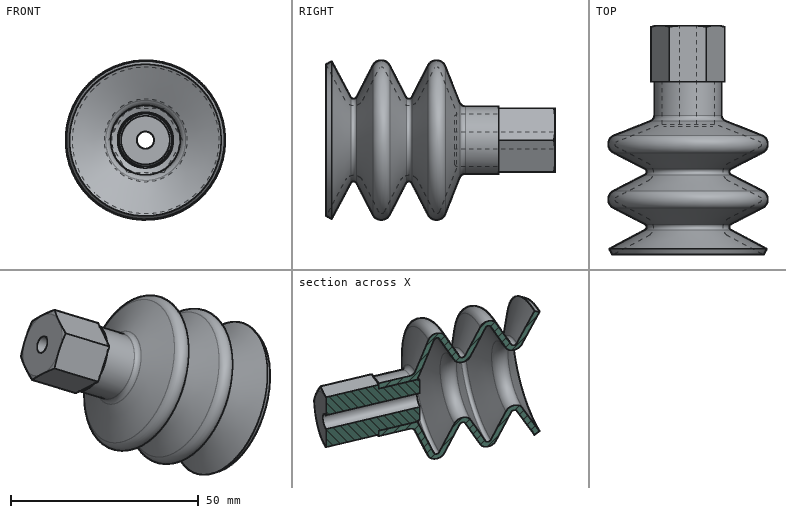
import cadquery as cq
import math

overall_length = 61.0

wall = 1.75
fold_radius = 21.3
fold_round = 2.55
neck_radius = 11.05
neck_round = 0.85
first_neck_y = 7.4
fold_pitch = 14.7
fold_count = 2
lip_radius = 20.2
lip_angle = math.radians(28.2)

sleeve_radius = 9.0
sleeve_top_y = 46.0
shoulder_y = 37.1
shoulder_round = 1.6
mouth_radius = 7.45

hex_flats = 17.0
hex_tip_angle = math.radians(15)
stem_radius = 7.0
stem_chamfer = 0.55
air_hole_radius = 2.25

neck_center_r = neck_radius + neck_round
fold_center_r = fold_radius - fold_round
shoulder_center_r = sleeve_radius + shoulder_round
first_fold_y = first_neck_y + fold_pitch / 2
top_fold_y = first_fold_y + (fold_count - 1) * fold_pitch


def cone_angle(radial_gap, axial_gap, round_sum):
    """Slope of the line that touches two roundings on opposite sides."""
    distance = math.hypot(radial_gap, axial_gap)
    return math.atan2(axial_gap, radial_gap) - math.asin(round_sum / distance)


fold_angle = cone_angle(fold_center_r - neck_center_r, fold_pitch / 2, fold_round + neck_round)
top_angle = cone_angle(
    fold_center_r - shoulder_center_r, shoulder_y - top_fold_y, fold_round + shoulder_round
)


def polar(center_r, center_y, radius, angle):
    """Point on a circle; the angle is measured from the outward radial direction."""
    return (center_r + radius * math.cos(angle), center_y + radius * math.sin(angle))


def add_folds(profile, inset):
    """Continue a profile from the lip over all folds, inset from the outer surface."""
    neck_arc = neck_round + inset
    fold_arc = fold_round - inset
    right_angle = math.pi / 2
    for index in range(fold_count):
        neck_y = first_neck_y + index * fold_pitch
        fold_y = neck_y + fold_pitch / 2
        angle_below = lip_angle if index == 0 else fold_angle
        angle_above = top_angle if index == fold_count - 1 else fold_angle
        profile = (
            profile
            .lineTo(*polar(neck_center_r, neck_y, neck_arc, -right_angle - angle_below))
            .threePointArc(
                polar(neck_center_r, neck_y, neck_arc, math.pi),
                polar(neck_center_r, neck_y, neck_arc, right_angle + fold_angle),
            )
            .lineTo(*polar(fold_center_r, fold_y, fold_arc, fold_angle - right_angle))
            .threePointArc(
                polar(fold_center_r, fold_y, fold_arc, 0),
                polar(fold_center_r, fold_y, fold_arc, right_angle - angle_above),
            )
        )
    return profile


def revolve_about_y(profile):
    return profile.close().revolve(360, (0, 0, 0), (0, 1, 0))


def cylinder(radius, start_y, end_y):
    return cq.Workplane("XZ", origin=(0, start_y, 0)).circle(radius).extrude(start_y - end_y)


def mouth_height():
    """Y at which the top cone of the cavity reaches the mouth radius."""
    cone_r, cone_y = polar(fold_center_r, top_fold_y, fold_round - wall, math.pi / 2 - top_angle)
    return cone_y + (cone_r - mouth_radius) * math.tan(top_angle)


mouth_y = mouth_height()


def make_bellows():
    lip_outer = polar(lip_radius, 0, wall, math.pi / 2 - lip_angle)
    lip_face = cq.Workplane("XY").lineTo(lip_radius, 0).lineTo(*lip_outer)
    outside = add_folds(lip_face, 0)
    outside = (
        outside
        .lineTo(*polar(shoulder_center_r, shoulder_y, shoulder_round, -math.pi / 2 - top_angle))
        .threePointArc(
            polar(shoulder_center_r, shoulder_y, shoulder_round, -3 * math.pi / 4 - top_angle / 2),
            (sleeve_radius, shoulder_y),
        )
        .lineTo(sleeve_radius, sleeve_top_y)
        .lineTo(0, sleeve_top_y)
    )

    lip_opening = cq.Workplane("XY").lineTo(lip_radius, 0)
    cavity = add_folds(lip_opening, wall).lineTo(mouth_radius, mouth_y).lineTo(0, mouth_y)

    stem_bore = cylinder(stem_radius, mouth_y, sleeve_top_y)
    return revolve_about_y(outside).cut(revolve_about_y(cavity)).cut(stem_bore)


def make_fitting():
    hex_corners = hex_flats / math.cos(math.pi / 6)
    hexagon = (
        cq.Workplane("XZ", origin=(0, sleeve_top_y, 0))
        .polygon(6, hex_corners)
        .extrude(sleeve_top_y - overall_length)
    )

    tip_radius = hex_flats / 2
    corner_radius = hex_corners / 2
    corner_drop = (corner_radius - tip_radius) * math.tan(hex_tip_angle)
    tip_envelope = revolve_about_y(
        cq.Workplane("XY")
        .moveTo(0, sleeve_top_y)
        .lineTo(corner_radius, sleeve_top_y)
        .lineTo(corner_radius, overall_length - corner_drop)
        .lineTo(tip_radius, overall_length)
        .lineTo(0, overall_length)
    )

    stem_end_y = mouth_y - stem_chamfer
    stem = cylinder(stem_radius, stem_end_y, sleeve_top_y).faces("<Y").chamfer(stem_chamfer)
    air_hole = cylinder(air_hole_radius, stem_end_y, overall_length)
    return hexagon.intersect(tip_envelope).union(stem).cut(air_hole)


bellows = make_bellows()
fitting = make_fitting()
result = cq.Compound.makeCompound([bellows.solids().val(), fitting.solids().val()])